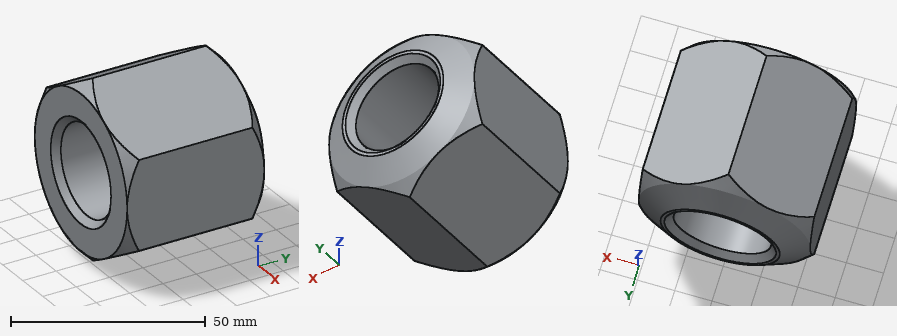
import cadquery as cq
import math

across_flats = 46.0
length = 45.0
bore_diameter = 26.2
countersink_diameter = 30.0
cone_tip_diameter = 32.0
cone_depth = 3.85
hexagon_sides = 6

flat_radius = across_flats / 2
corner_radius = flat_radius / math.cos(math.pi / hexagon_sides)
corner_chamfer = corner_radius - flat_radius
bore_radius = bore_diameter / 2
countersink_radius = countersink_diameter / 2
countersink_depth = countersink_radius - bore_radius
cone_tip_radius = cone_tip_diameter / 2
shoulder = length - cone_depth


def hexagon_prism():
    """Full-length hexagon with flats facing +X and -X and corners on the Z axis."""
    corners = []
    for i in range(hexagon_sides):
        angle = 2 * math.pi * i / hexagon_sides
        corners.append((corner_radius * math.sin(angle), corner_radius * math.cos(angle)))
    return cq.Workplane("XZ").polyline(corners).close().extrude(-length)


def turned_envelope():
    """Turned shape of the nut: corner chamfers, conical end and countersunk bore."""
    profile = [
        (bore_radius, countersink_depth),
        (countersink_radius, 0),
        (flat_radius, 0),
        (corner_radius, corner_chamfer),
        (corner_radius, shoulder - corner_chamfer),
        (flat_radius, shoulder),
        (cone_tip_radius, length),
        (countersink_radius, length),
        (bore_radius, length - countersink_depth),
    ]
    return cq.Workplane("XY").polyline(profile).close().revolve(360, (0, 0, 0), (0, 1, 0))


result = hexagon_prism().intersect(turned_envelope())